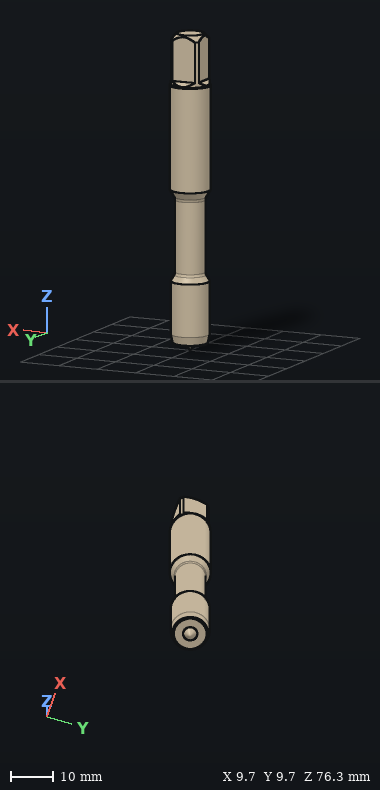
import cadquery as cq
import math

total_length = 76.3
tip_height = 1.7
lead_edge_top = 1.9
lead_top = 4.0
thread_top = 16.7
shank_bottom = 38.7
shank_top = 63.8
square_bottom = 65.2

shank_diameter = 9.7
thread_diameter = 9.3
neck_diameter = 7.25
lead_edge_diameter = 8.4
lead_end_diameter = 7.8
square_size = 7.25
corner_diameter = 9.3
top_face_diameter = 6.5

shoulder_height = 0.2
neck_cone_angle = 30.0
neck_fillet = 1.4

shank_radius = shank_diameter / 2
thread_radius = thread_diameter / 2
neck_radius = neck_diameter / 2
corner_radius = corner_diameter / 2
top_face_radius = top_face_diameter / 2
half_square = square_size / 2


def revolve_profile(points):
    """Turn a closed (radius, height) outline around the Z axis."""
    return cq.Workplane("XZ").polyline(points).close().revolve(360, (0, 0), (0, 1))


def make_flat_cutter():
    """Block that mills one flat on the -Y side, with a 45 degree run-out at its lower end."""
    runout = shank_radius - half_square
    top = total_length + runout
    outline = [
        (-half_square, top),
        (-half_square, square_bottom),
        (-half_square - runout, square_bottom - runout),
        (-shank_diameter, square_bottom - runout),
        (-shank_diameter, top),
    ]
    return cq.Workplane("YZ").polyline(outline).close().extrude(shank_radius, both=True)


def make_shank():
    """Neck, cylindrical shank and drive square, seated on the thread section."""
    cone_slope = math.tan(math.radians(neck_cone_angle))
    neck_bottom = thread_top + (thread_radius - neck_radius) / cone_slope
    neck_top = shank_bottom - (shank_radius - neck_radius) / cone_slope
    top_bevel_bottom = total_length - (corner_radius - top_face_radius)
    shank = revolve_profile([
        (0, thread_top),
        (thread_radius, thread_top),
        (neck_radius, neck_bottom),
        (neck_radius, neck_top),
        (shank_radius, shank_bottom),
        (shank_radius, shank_top),
        (corner_radius, shank_top + shoulder_height),
        (corner_radius, top_bevel_bottom),
        (top_face_radius, total_length),
        (0, total_length),
    ])

    for height in (neck_bottom, neck_top):
        ring = cq.selectors.BoxSelector(
            (-shank_radius, -shank_radius, height - neck_fillet / 2),
            (shank_radius, shank_radius, height + neck_fillet / 2),
            boundingbox=True,
        )
        shank = shank.edges(ring).edges("%CIRCLE").fillet(neck_fillet)

    cutter = make_flat_cutter()
    for angle in range(0, 360, 90):
        shank = shank.cut(cutter.rotate((0, 0, 0), (0, 0, 1), angle))
    return shank


def make_thread_section():
    """Cutting end: thread cylinder, tapered lead and 90 degree point."""
    return revolve_profile([
        (0, 0),
        (tip_height, tip_height),
        (lead_end_diameter / 2, tip_height),
        (lead_edge_diameter / 2, lead_edge_top),
        (thread_radius, lead_top),
        (thread_radius, thread_top),
        (0, thread_top),
    ])


shank = make_shank()
thread_section = make_thread_section()

result = cq.Compound.makeCompound([shank.val(), thread_section.val()])